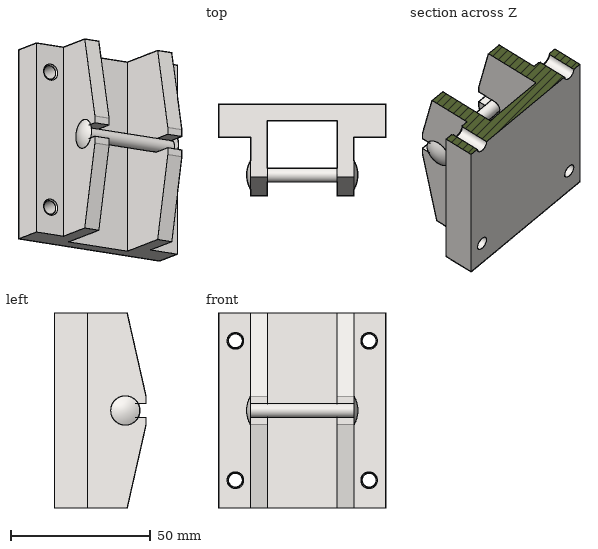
import cadquery as cq

plate_width = 60.0
plate_height = 70.0
plate_thickness = 12.0

wall_thickness = 6.0
channel_width = 25.0
channel_floor_thickness = 6.0
walls_outer_width = channel_width + 2 * wall_thickness

wall_end_reach = 26.2
wall_nose_reach = 33.0
nose_height = 10.0

hole_diameter = 5.0
hole_chamfer = 0.5
hole_edge_distance = 6.0
hole_end_distance = 10.0
hole_spacing_x = plate_width - 2 * hole_edge_distance
hole_spacing_z = plate_height - 2 * hole_end_distance

pin_diameter = 5.0
pin_reach = 25.5
head_diameter = 10.5
head_height = 1.5


def make_plate():
    return cq.Workplane("XY").box(
        plate_width, plate_thickness, plate_height, centered=(True, False, True)
    ).translate((0, -plate_thickness, 0))


def make_walls():
    """Solid block with the tapered wall profile, as wide as both walls and the channel."""
    return (
        cq.Workplane("YZ")
        .moveTo(0, -plate_height / 2)
        .lineTo(-wall_end_reach, -plate_height / 2)
        .lineTo(-wall_nose_reach, -nose_height / 2)
        .lineTo(-wall_nose_reach, nose_height / 2)
        .lineTo(-wall_end_reach, plate_height / 2)
        .lineTo(0, plate_height / 2)
        .close()
        .extrude(walls_outer_width / 2, both=True)
    )


def make_channel():
    channel_depth = wall_nose_reach - channel_floor_thickness
    return cq.Workplane("XY").box(
        channel_width, channel_depth, plate_height, centered=(True, False, True)
    ).translate((0, -wall_nose_reach, 0))


def make_pin_slot():
    """Slot open at the wall noses, with a round inner end that seats the pin."""
    radius = pin_diameter / 2
    return (
        cq.Workplane("YZ")
        .moveTo(-wall_nose_reach, -radius)
        .lineTo(-pin_reach, -radius)
        .threePointArc((-pin_reach + radius, 0), (-pin_reach, radius))
        .lineTo(-wall_nose_reach, radius)
        .close()
        .extrude(walls_outer_width / 2, both=True)
    )


def make_mounting_holes():
    """Through holes, chamfered where they open on the front of the flanges."""
    radius = hole_diameter / 2
    hole = (
        cq.Workplane("XY")
        .lineTo(radius, 0)
        .lineTo(radius, -plate_thickness + hole_chamfer)
        .lineTo(radius + hole_chamfer, -plate_thickness)
        .lineTo(0, -plate_thickness)
        .close()
        .revolve(360, (0, 0, 0), (0, 1, 0))
    ).val()
    holes = cq.Workplane("XY")
    for x in (-hole_spacing_x / 2, hole_spacing_x / 2):
        for z in (-hole_spacing_z / 2, hole_spacing_z / 2):
            holes = holes.add(hole.translate(cq.Vector(x, 0, z)))
    return holes.combine()


def make_bracket():
    body = make_plate().union(make_walls())
    return body.cut(make_channel()).cut(make_pin_slot()).cut(make_mounting_holes())


def make_pin():
    """Half profile of the shank and both domed heads, revolved about the pin axis."""
    shank_radius = pin_diameter / 2
    head_radius = head_diameter / 2
    shank_end = walls_outer_width / 2
    pin_end = shank_end + head_height
    dome_radius = (head_radius**2 + head_height**2) / (2 * head_height)
    dome_center = pin_end - dome_radius
    mid_radius = head_radius / 2
    mid_x = dome_center + (dome_radius**2 - mid_radius**2) ** 0.5
    return (
        cq.Workplane("XY")
        .moveTo(-pin_end, 0)
        .threePointArc((-mid_x, mid_radius), (-shank_end, head_radius))
        .lineTo(-shank_end, shank_radius)
        .lineTo(shank_end, shank_radius)
        .lineTo(shank_end, head_radius)
        .threePointArc((mid_x, mid_radius), (pin_end, 0))
        .close()
        .revolve(360, (0, 0, 0), (1, 0, 0))
        .translate((0, -pin_reach, 0))
    )


bracket = make_bracket()
pin = make_pin()

result = cq.Compound.makeCompound([bracket.val(), pin.val()])